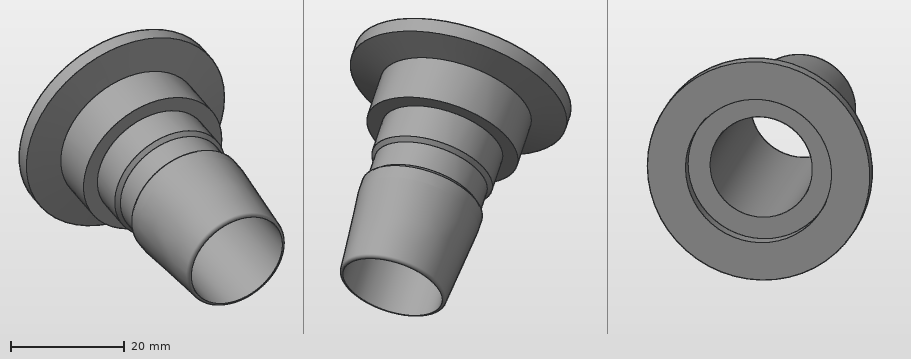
import cadquery as cq

flange_radius = 19.95
rim_width = 2.7
flange_back_x = 4.35

hub_radius = 13.92
hub_end_x = 12.7
tail_radius = 11.15
groove_radius = 10.4
groove_start_x = 19.08
groove_end_x = 25.3
groove_slope = 0.75
taper_start_x = 27.8
tip_radius = 9.75
tip_rounding = 0.55
length = 43.65

bore_radius = 9.15
recess_radius = 13.1
recess_depth = 2.7

half_section = (
    cq.Workplane("XY")
    .moveTo(0, recess_radius)
    .lineTo(0, flange_radius)
    .lineTo(rim_width, flange_radius)
    .lineTo(flange_back_x, hub_radius)
    .lineTo(hub_end_x, hub_radius)
    .lineTo(hub_end_x, tail_radius)
    .lineTo(groove_start_x, tail_radius)
    .lineTo(groove_start_x + groove_slope, groove_radius)
    .lineTo(groove_end_x - groove_slope, groove_radius)
    .lineTo(groove_end_x, tail_radius)
    .lineTo(taper_start_x, tail_radius)
    .lineTo(length, tip_radius)
    .lineTo(length, bore_radius)
    .lineTo(recess_depth, bore_radius)
    .lineTo(recess_depth, recess_radius)
    .close()
)

fitting = half_section.revolve(360, (0, 0, 0), (1, 0, 0))

outer_tip_edge = cq.selectors.RadiusNthSelector(-1)
result = fitting.faces(">X").edges(outer_tip_edge).fillet(tip_rounding)